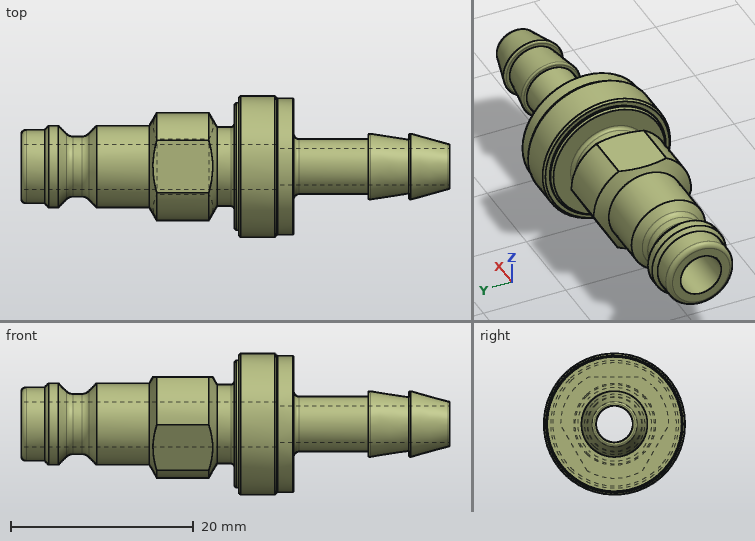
import cadquery as cq
import math


TOTAL_LENGTH = 47.0
SEAM_X = 28.0

TIP_RADIUS = 8.1 / 2
TIP_ROUND = 0.55
TIP_END_X = 2.6
SHANK_RADIUS = 9.0 / 2
GROOVE_RADIUS = 6.65 / 2
GROOVE_START_X = 5.7
GROOVE_END_X = 6.67
GROOVE_ROUND = 1.05
NIPPLE_BORE = 4.95

COLLAR_START_X = 14.05
COLLAR_END_X = 21.5
COLLAR_RADIUS = 5.9
COLLAR_SLOPE = math.radians(30)
FLAT_DISTANCE = 5.15
FLAT_COUNT = 3

NECK_RADIUS = 8.7 / 2
NECK_ROUND = 0.38
HUB_X = 23.35
HUB_RADIUS = 14.0 / 2
HUB_CHAMFER = 0.25
FLANGE_X = 23.85
FLANGE_RADIUS = 15.5 / 2
FLANGE_CHAMFER = 0.25

TAIL_FLANGE_RADIUS = 15.0 / 2
TAIL_FLANGE_CHAMFER = 0.15
TAIL_FLANGE_END_X = 29.9
TUBE_RADIUS = 6.05 / 2
TUBE_ROUND = 0.55
BARB_STARTS = (38.0, 42.5)
BARB_RADIUS = 3.6
BARB_ROUND = 0.25
BARB_ROOT_RADIUS = 2.95
TAIL_END_RADIUS = 2.5
TAIL_END_ROUND = 0.25
TAIL_BORE = 4.0


def arc_middle(center_x, center_r, radius, angle):
    """Point on an arc, with the angle in degrees from +X toward larger radius."""
    a = math.radians(angle)
    return center_x + radius * math.cos(a), center_r + radius * math.sin(a)


def revolve_about_x(profile):
    return profile.close().revolve(360, (0, 0, 0), (1, 0, 0))


def bored(body, diameter):
    """Cut a coaxial through bore."""
    return body.cut(cq.Workplane("YZ").circle(diameter / 2).extrude(TOTAL_LENGTH))


def nipple_front():
    """Tip, 45 degree locking groove and shank, running on into the collar."""
    bead_start_x = TIP_END_X + SHANK_RADIUS - TIP_RADIUS
    arc_run = GROOVE_ROUND * math.sin(math.radians(45))
    arc_rise = GROOVE_ROUND - arc_run
    cone_foot_radius = GROOVE_RADIUS + arc_rise
    arc_center_radius = GROOVE_RADIUS + GROOVE_ROUND
    cone_run = SHANK_RADIUS - cone_foot_radius
    cone_foot_front_x = GROOVE_START_X - arc_run
    cone_foot_back_x = GROOVE_END_X + arc_run
    profile = (
        cq.Workplane("XY")
        .moveTo(0, 0)
        .lineTo(0, TIP_RADIUS - TIP_ROUND)
        .threePointArc(
            arc_middle(TIP_ROUND, TIP_RADIUS - TIP_ROUND, TIP_ROUND, 135),
            (TIP_ROUND, TIP_RADIUS),
        )
        .lineTo(TIP_END_X, TIP_RADIUS)
        .lineTo(bead_start_x, SHANK_RADIUS)
        .lineTo(cone_foot_front_x - cone_run, SHANK_RADIUS)
        .lineTo(cone_foot_front_x, cone_foot_radius)
        .threePointArc(
            arc_middle(GROOVE_START_X, arc_center_radius, GROOVE_ROUND, -112.5),
            (GROOVE_START_X, GROOVE_RADIUS),
        )
        .lineTo(GROOVE_END_X, GROOVE_RADIUS)
        .threePointArc(
            arc_middle(GROOVE_END_X, arc_center_radius, GROOVE_ROUND, -67.5),
            (cone_foot_back_x, cone_foot_radius),
        )
        .lineTo(cone_foot_back_x + cone_run, SHANK_RADIUS)
        .lineTo(COLLAR_START_X, SHANK_RADIUS)
        .lineTo(COLLAR_START_X, 0)
    )
    return revolve_about_x(profile)


def wrench_collar():
    """Round collar with conical ends and three equally spaced wrench flats."""
    front_run = (COLLAR_RADIUS - SHANK_RADIUS) * math.tan(COLLAR_SLOPE)
    back_run = (COLLAR_RADIUS - NECK_RADIUS) * math.tan(COLLAR_SLOPE)
    collar = revolve_about_x(
        cq.Workplane("XY")
        .moveTo(COLLAR_START_X, 0)
        .lineTo(COLLAR_START_X, SHANK_RADIUS)
        .lineTo(COLLAR_START_X + front_run, COLLAR_RADIUS)
        .lineTo(COLLAR_END_X - back_run, COLLAR_RADIUS)
        .lineTo(COLLAR_END_X, NECK_RADIUS)
        .lineTo(COLLAR_END_X, 0)
    )
    triangle_diameter = 4 * FLAT_DISTANCE
    prism = (
        cq.Workplane("YZ", origin=(COLLAR_START_X, 0, 0))
        .transformed(rotate=(0, 0, -90))
        .polygon(FLAT_COUNT, triangle_diameter)
        .extrude(COLLAR_END_X - COLLAR_START_X)
    )
    return collar.intersect(prism)


def nipple_back():
    """Neck, stepped hub and large flange, ending at the seam."""
    profile = (
        cq.Workplane("XY")
        .moveTo(COLLAR_END_X, 0)
        .lineTo(COLLAR_END_X, NECK_RADIUS)
        .lineTo(HUB_X - NECK_ROUND, NECK_RADIUS)
        .threePointArc(
            arc_middle(HUB_X - NECK_ROUND, NECK_RADIUS + NECK_ROUND, NECK_ROUND, -45),
            (HUB_X, NECK_RADIUS + NECK_ROUND),
        )
        .lineTo(HUB_X, HUB_RADIUS - HUB_CHAMFER)
        .lineTo(HUB_X + HUB_CHAMFER, HUB_RADIUS)
        .lineTo(FLANGE_X, HUB_RADIUS)
        .lineTo(FLANGE_X, FLANGE_RADIUS - FLANGE_CHAMFER)
        .lineTo(FLANGE_X + FLANGE_CHAMFER, FLANGE_RADIUS)
        .lineTo(SEAM_X - FLANGE_CHAMFER, FLANGE_RADIUS)
        .lineTo(SEAM_X, FLANGE_RADIUS - FLANGE_CHAMFER)
        .lineTo(SEAM_X, 0)
    )
    return revolve_about_x(profile)


def make_nipple():
    body = nipple_front().union(wrench_collar()).union(nipple_back())
    return bored(body, NIPPLE_BORE)


def make_hose_tail():
    """Small flange, filleted tube and two hose barbs tapering to the open end."""
    flange_edge = TAIL_FLANGE_RADIUS - TAIL_FLANGE_CHAMFER
    fillet_x = TAIL_FLANGE_END_X + TUBE_ROUND
    fillet_radius = TUBE_RADIUS + TUBE_ROUND
    profile = (
        cq.Workplane("XY")
        .moveTo(SEAM_X, 0)
        .lineTo(SEAM_X, flange_edge)
        .lineTo(SEAM_X + TAIL_FLANGE_CHAMFER, TAIL_FLANGE_RADIUS)
        .lineTo(TAIL_FLANGE_END_X - TAIL_FLANGE_CHAMFER, TAIL_FLANGE_RADIUS)
        .lineTo(TAIL_FLANGE_END_X, flange_edge)
        .lineTo(TAIL_FLANGE_END_X, fillet_radius)
        .threePointArc(
            arc_middle(fillet_x, fillet_radius, TUBE_ROUND, -135),
            (fillet_x, TUBE_RADIUS),
        )
    )
    taper_ends = (
        (BARB_STARTS[1], BARB_ROOT_RADIUS),
        (TOTAL_LENGTH - TAIL_END_ROUND, TAIL_END_RADIUS),
    )
    profile = profile.lineTo(BARB_STARTS[0], TUBE_RADIUS)
    for start_x, taper_end in zip(BARB_STARTS, taper_ends):
        crest_x = start_x + BARB_ROUND
        shoulder_radius = BARB_RADIUS - BARB_ROUND
        profile = (
            profile.lineTo(start_x, shoulder_radius)
            .threePointArc(
                arc_middle(crest_x, shoulder_radius, BARB_ROUND, 135),
                (crest_x, BARB_RADIUS),
            )
            .lineTo(*taper_end)
        )
    end_round_radius = TAIL_END_RADIUS - TAIL_END_ROUND
    profile = profile.threePointArc(
        arc_middle(TOTAL_LENGTH - TAIL_END_ROUND, end_round_radius, TAIL_END_ROUND, 45),
        (TOTAL_LENGTH, end_round_radius),
    ).lineTo(TOTAL_LENGTH, 0)
    return bored(revolve_about_x(profile), TAIL_BORE)


nipple = make_nipple()
hose_tail = make_hose_tail()

result = cq.Compound.makeCompound([nipple.val(), hose_tail.val()])